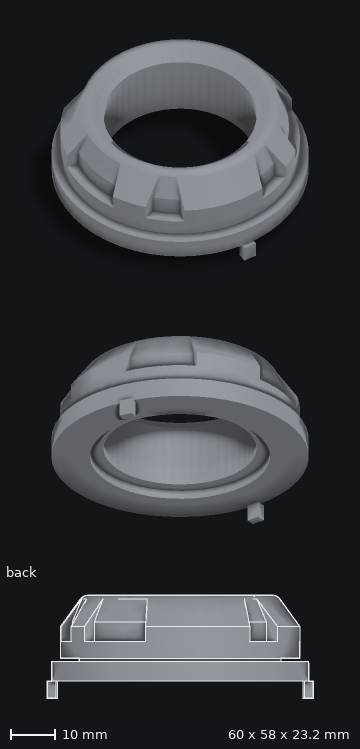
import cadquery as cq
import math

bore_radius = 34.5 / 2
tab_height = 3.85
flange_thickness = 4.5
seal_gap = 0.65
total_height = 23.2
flange_top = tab_height + flange_thickness
cap_bottom = flange_top + seal_gap

flange_radius = 58.0 / 2
neck_radius = 45.5 / 2
neck_height = 2.15
neck_top = flange_top + neck_height
counterbore_radius = 40.6 / 2
counterbore_depth = 2.05
tab_outer_radius = 30.0
tab_length = 2.05
tab_width = 3.05
tab_angle = 6.0

seal_radius = neck_radius
seal_height = 4.45
seal_top = neck_top + seal_height

cap_radius = 27.0
cone_bottom = total_height - 7.1
cone_angle = 54.2
rim_outer_radius = 20.8
rim_inner_radius = 40.6 / 2
countersink_depth = 2.95

cone_tangent = math.tan(math.radians(cone_angle))
rim_corner_radius = cap_radius - (total_height - cone_bottom) / cone_tangent
rim_tangent_length = rim_corner_radius - rim_outer_radius
rim_round_radius = rim_tangent_length / math.tan(math.radians(cone_angle / 2))
round_end_radius = rim_corner_radius + rim_tangent_length * math.cos(math.radians(cone_angle))
round_end_height = total_height - rim_tangent_length * math.sin(math.radians(cone_angle))
round_mid_radius = rim_outer_radius + rim_round_radius * math.sin(math.radians(cone_angle / 2))
round_mid_height = total_height - rim_round_radius * (1 - math.cos(math.radians(cone_angle / 2)))

pocket_floor_height = 3.8
pocket_floor = cap_bottom + pocket_floor_height
pocket_wall_radius = 24.55
pocket_wall_top = total_height - 6.0
pocket_flare = 30.0
wide_half_angle = 18.1
narrow_half_angle = 9.4
wide_pocket_angles = (55, 200, 270)
narrow_pocket_angles = (15, 135, 315)
cutter_clearance = 3.0
cut_radius = cap_radius + cutter_clearance


def ring(outer_radius, bottom, height):
    """Plain ring around the common bore."""
    return cq.Workplane("XY", origin=(0, 0, bottom)).circle(outer_radius).circle(bore_radius).extrude(height)


def make_flange():
    """Flange ring with a raised neck, a counterbored underside and two hanging tabs."""
    flange = ring(flange_radius, tab_height, flange_thickness)
    flange = flange.union(ring(neck_radius, flange_top, neck_height))
    counterbore = (
        cq.Workplane("XY", origin=(0, 0, tab_height)).circle(counterbore_radius).extrude(counterbore_depth)
    )
    flange = flange.cut(counterbore)
    for angle in (-tab_angle, 180 + tab_angle):
        tab = (
            cq.Workplane("XY")
            .center(tab_outer_radius - tab_length / 2, 0)
            .rect(tab_length, tab_width)
            .extrude(tab_height)
            .rotate((0, 0, 0), (0, 0, 1), angle)
        )
        flange = flange.union(tab)
    return flange


def make_seal():
    """Seal ring between the flange neck and the cap."""
    return ring(seal_radius, neck_top, seal_height)


def make_pocket_cutter(angle, half_angle):
    """Flared sector of the pocket ring, centred on the given angle."""
    corner_x = cap_radius * math.cos(math.radians(half_angle))
    corner_y = cap_radius * math.sin(math.radians(half_angle))
    flare_slope = math.tan(math.radians(pocket_flare))
    apex_x = corner_x - corner_y / flare_slope
    outer_half_width = (cut_radius - apex_x) * flare_slope
    wedge = (
        cq.Workplane("XY", origin=(0, 0, pocket_floor))
        .polyline([(apex_x, 0), (cut_radius, -outer_half_width), (cut_radius, outer_half_width)])
        .close()
        .extrude(total_height - pocket_floor)
    )
    pocket_ring = (
        cq.Workplane("XZ")
        .polyline([
            (pocket_wall_radius, pocket_floor),
            (cut_radius, pocket_floor),
            (cut_radius, round_end_height),
            (round_end_radius, round_end_height),
            (pocket_wall_radius, pocket_wall_top),
        ])
        .close()
        .revolve(360, (0, 0, 0), (0, 1, 0))
    )
    return wedge.intersect(pocket_ring).rotate((0, 0, 0), (0, 0, 1), angle)


def make_cap():
    """Conical cap with a countersunk bore, a recess for the neck and seal, and grip pockets."""
    cap = (
        cq.Workplane("XZ")
        .moveTo(seal_radius, cap_bottom)
        .lineTo(cap_radius, cap_bottom)
        .lineTo(cap_radius, cone_bottom)
        .lineTo(round_end_radius, round_end_height)
        .threePointArc((round_mid_radius, round_mid_height), (rim_outer_radius, total_height))
        .lineTo(rim_inner_radius, total_height)
        .lineTo(bore_radius, total_height - countersink_depth)
        .lineTo(bore_radius, seal_top)
        .lineTo(seal_radius, seal_top)
        .close()
        .revolve(360, (0, 0, 0), (0, 1, 0))
    )
    for angle in wide_pocket_angles:
        cap = cap.cut(make_pocket_cutter(angle, wide_half_angle))
    for angle in narrow_pocket_angles:
        cap = cap.cut(make_pocket_cutter(angle, narrow_half_angle))
    return cap


flange = make_flange()
seal = make_seal()
cap = make_cap()

result = cq.Compound.makeCompound([flange.solids().val(), seal.val(), cap.solids().val()])